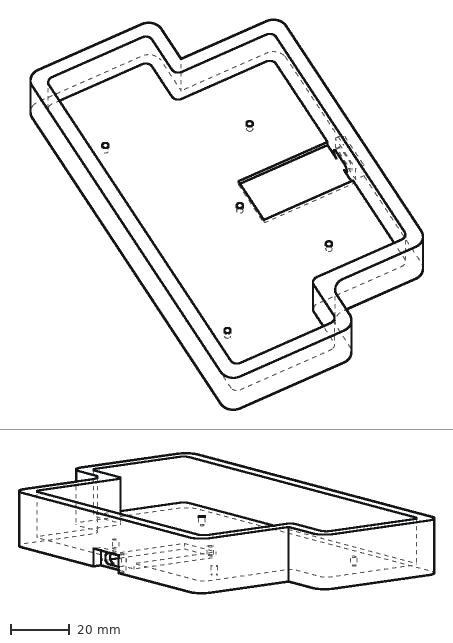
import cadquery as cq

length = 145.4
depth = 88.2
height = 19.0
floor_thickness = 3.0

back_width = 107.1
shoulder_y = 50.1
side_wall = 5.0
end_wall = 5.2
outer_radius = 5.0
inner_radius = 2.5

recess_width = 18.3
recess_front_y = 48.4
recess_depth = 1.9

port_width = 9.5
port_height = 3.9
port_axis_z = floor_thickness - recess_depth + port_height / 2

clearance_width = 14.5
port_web = 2.0

hole_diameter = 2.2
back_hole_x = 28.5
back_hole_y = 63.2
middle_hole_y = 44.0
front_hole_x = 43.9
front_hole_y = 15.5


def stepped_block(front_half, back_half, front_y, step_y, back_y, base_z):
    """T-shaped prism from base_z up to the rim."""
    outline = [
        (-front_half, front_y),
        (front_half, front_y),
        (front_half, step_y),
        (back_half, step_y),
        (back_half, back_y),
        (-back_half, back_y),
        (-back_half, step_y),
        (-front_half, step_y),
    ]
    return cq.Workplane("XY", origin=(0, 0, base_z)).polyline(outline).close().extrude(height - base_z)


def make_body():
    body = stepped_block(length / 2, back_width / 2, 0, shoulder_y, depth, 0)
    vertical = cq.selectors.StringSyntaxSelector("|Z")
    sharp_corner = cq.selectors.NearestToPointSelector((-back_width / 2, shoulder_y, height / 2))
    return body.edges(vertical - sharp_corner).fillet(outer_radius)


def make_cavity():
    cavity = stepped_block(
        length / 2 - side_wall,
        back_width / 2 - side_wall,
        end_wall,
        shoulder_y - side_wall,
        depth - end_wall,
        floor_thickness,
    )
    return cavity.edges("|Z").fillet(inner_radius)


def make_recess():
    recess_length = depth - end_wall - recess_front_y
    recess = cq.Workplane("XY").box(recess_width, recess_length, recess_depth, centered=(True, False, False))
    return recess.translate((0, recess_front_y, floor_thickness - recess_depth))


def make_port():
    return (
        cq.Workplane("XZ", origin=(0, depth, port_axis_z))
        .slot2D(port_width, port_height)
        .extrude(end_wall)
    )


def make_plug_clearance():
    return (
        cq.Workplane("XZ", origin=(0, depth, port_axis_z))
        .rect(clearance_width, 2 * port_axis_z)
        .extrude(end_wall - port_web)
    )


def make_screw_holes():
    centres = [(0, middle_hole_y)]
    for side in (-1, 1):
        centres.append((side * back_hole_x, back_hole_y))
        centres.append((side * front_hole_x, front_hole_y))
    return cq.Workplane("XY").pushPoints(centres).circle(hole_diameter / 2).extrude(floor_thickness)


result = (
    make_body()
    .cut(make_cavity())
    .cut(make_recess())
    .cut(make_port())
    .cut(make_plug_clearance())
    .cut(make_screw_holes())
)